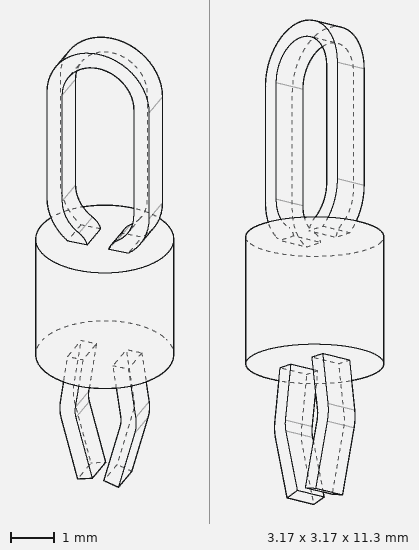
import cadquery as cq
import math

bead_diameter = 3.175
bead_height = 3.05

strip_thickness = 0.381
strip_width = 0.813
half_thickness = strip_thickness / 2

loop_width = 2.54
loop_height = 5.08
loop_side_length = 2.79
shoulder_angle = 58
neck_inside_radius = 0.1

leg_length = 3.175
leg_spread = 1.9
leg_bend_depth = 1.24
leg_bend_outside_radius = 1.03
leg_upper_angle = 8.4
leg_lower_angle = 15
leg_embed_depth = 0.5


def polar(center, radius, angle):
    """Point at an angle in degrees from +X around a center in the XZ plane."""
    radians = math.radians(angle)
    return (center[0] + radius * math.cos(radians), center[1] + radius * math.sin(radians))


def sweep_strip(path, start, tangent):
    """Sweep the strip section along a centerline in the XZ plane."""
    section_plane = cq.Plane(
        origin=(start[0], 0, start[1]),
        xDir=(0, 1, 0),
        normal=(tangent[0], 0, tangent[1]),
    )
    section = cq.Workplane(section_plane).rect(strip_width, strip_thickness)
    return section.sweep(path)


def make_half_loop():
    """Right half of the loop, from its crown down into the bead."""
    loop_radius = loop_width / 2 - half_thickness
    neck_radius = neck_inside_radius + half_thickness

    crown_center = (0, bead_height + loop_height - loop_width / 2)
    crown_top = polar(crown_center, loop_radius, 90)
    side_top = polar(crown_center, loop_radius, 0)
    side_bottom = (side_top[0], side_top[1] - loop_side_length)

    shoulder_center = (0, side_bottom[1])
    shoulder_end = polar(shoulder_center, loop_radius, -shoulder_angle)

    neck_center = polar(shoulder_end, neck_radius, -shoulder_angle)
    neck_end = polar(neck_center, neck_radius, 180)

    path = (
        cq.Workplane("XZ")
        .moveTo(*crown_top)
        .threePointArc(polar(crown_center, loop_radius, 45), side_top)
        .lineTo(*side_bottom)
        .threePointArc(polar(shoulder_center, loop_radius, -shoulder_angle / 2), shoulder_end)
        .threePointArc(polar(neck_center, neck_radius, 180 - shoulder_angle / 2), neck_end)
    )
    return sweep_strip(path, crown_top, (1, 0))


def make_leg():
    """Right leg, from inside the bead down to its square-cut tip."""
    bend_radius = leg_bend_outside_radius - half_thickness
    bend_rise = leg_bend_outside_radius * math.sin(math.radians(leg_upper_angle))
    bend_center = (leg_spread / 2 - leg_bend_outside_radius, -leg_bend_depth - bend_rise)
    bend_top = polar(bend_center, bend_radius, leg_upper_angle)
    bend_bottom = polar(bend_center, bend_radius, -leg_lower_angle)

    upper_length = (leg_embed_depth - bend_top[1]) / math.cos(math.radians(leg_upper_angle))
    leg_top = polar(bend_top, upper_length, 90 + leg_upper_angle)

    tip_height = -leg_length + half_thickness * math.sin(math.radians(leg_lower_angle))
    lower_length = (bend_bottom[1] - tip_height) / math.cos(math.radians(leg_lower_angle))
    leg_tip = polar(bend_bottom, lower_length, -90 - leg_lower_angle)

    bend_middle_angle = (leg_upper_angle - leg_lower_angle) / 2
    path = (
        cq.Workplane("XZ")
        .moveTo(*leg_top)
        .lineTo(*bend_top)
        .threePointArc(polar(bend_center, bend_radius, bend_middle_angle), bend_bottom)
        .lineTo(*leg_tip)
    )
    tangent = (bend_top[0] - leg_top[0], bend_top[1] - leg_top[1])
    return sweep_strip(path, leg_top, tangent)


bead = cq.Workplane("XY").circle(bead_diameter / 2).extrude(bead_height)
result = bead
for half in (make_half_loop(), make_leg()):
    result = result.union(half).union(half.mirror("YZ"))